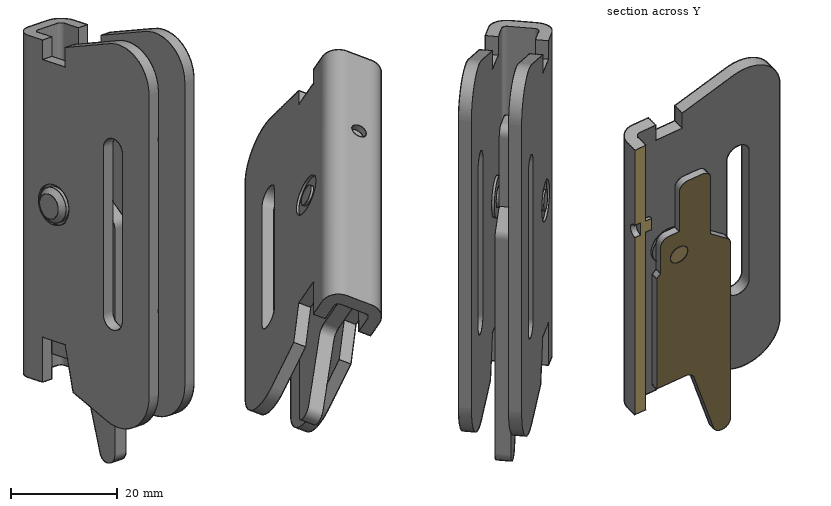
import cadquery as cq
import math

width = 35.0
depth = 12.0
wall = 2.5
bend_radius = 3.4
top = 86.0
plate_height = 76.0
spine_height = 67.9
corner_radius = 8.0

plate_bottom = top - plate_height
middle_z = (top + plate_bottom) / 2
spine_top = middle_z + spine_height / 2
spine_bottom = middle_z - spine_height / 2
corner_x = width - corner_radius
upper_corner_z = top - corner_radius
lower_corner_z = plate_bottom + corner_radius

notch_start = 7.05
notch_end = 13.0
upper_notch_floor = 78.1
lower_notch_roof = 23.0
lower_nose_x = 15.05

slot_x = 25.5
slot_width = 5.0
slot_length = 38.0

dimple_z = 61.1
dimple_diameter = 3.0
dimple_height = 1.3

seat_diameter = 8.0
seat_depth = 0.5

pin_x = 10.0
pin_z = 50.0
shank_diameter = 4.0
head_diameter = 7.0
head_chamfer = 1.0
head_proud = 1.3

lever_thickness = 3.0
lever_radius = 2.0
lever_heel_x = 4.9
lever_shelf_x = 5.8
lever_block_left = pin_x
lever_block_right = 17.1
lever_tail_x = 21.6
lever_top = 67.9
lever_shelf_z = 55.9
lever_heel_z = 46.4
lever_shoulder_z = 51.6
shoulder_slope = 40.0
lever_bottom = 18.1
tail_root_x = 12.9

outer_y = depth / 2
inner_y = outer_y - wall
through = 2 * depth
pick_reach = 0.1


def tangent_point(start, centre, radius, side):
    """Point where a line from start touches a circle; side is +1 or -1."""
    dx = start[0] - centre[0]
    dz = start[1] - centre[1]
    angle = math.atan2(dz, dx) + side * math.acos(radius / math.hypot(dx, dz))
    return (centre[0] + radius * math.cos(angle), centre[1] + radius * math.sin(angle))


def along_y(x, z, start_y):
    """Sketch plane at start_y whose normal is +Y, centred on (x, z)."""
    return cq.Workplane(cq.Plane((x, start_y, z), (-1, 0, 0), (0, 1, 0)))


def along_x(x, z):
    """Sketch plane whose normal is +X, centred on (x, 0, z)."""
    return cq.Workplane("YZ", origin=(x, 0, z))


def slab(outline, thickness):
    """Extrude an XZ outline by thickness, centred on Y = 0."""
    return outline.close().extrude(thickness / 2, both=True)


def make_channel():
    outer = cq.Workplane("XY").box(width, depth, plate_height, centered=(False, True, False))
    outer = outer.edges("|Z and <X").fillet(bend_radius)
    inner = cq.Workplane("XY").box(width, 2 * inner_y, plate_height, centered=(False, True, False))
    inner = inner.edges("|Z and <X").fillet(bend_radius - wall)
    return outer.cut(inner.translate((wall, 0, 0))).translate((0, 0, plate_bottom))


def make_side_profile():
    upper_centre = (corner_x, upper_corner_z)
    lower_centre = (corner_x, lower_corner_z)
    upper_nose = (notch_end, spine_top)
    lower_nose = (lower_nose_x, spine_bottom)
    upper_touch = tangent_point(upper_nose, upper_centre, corner_radius, -1)
    lower_touch = tangent_point(lower_nose, lower_centre, corner_radius, 1)
    upper_end = (width, upper_corner_z)
    lower_end = (width, lower_corner_z)
    outline = (
        cq.Workplane("XZ")
        .moveTo(0, spine_bottom)
        .lineTo(0, spine_top)
        .lineTo(notch_start, spine_top)
        .lineTo(notch_start, upper_notch_floor)
        .lineTo(notch_end, upper_notch_floor)
        .lineTo(*upper_nose)
        .lineTo(*upper_touch)
        .threePointArc((corner_x, top), upper_end)
        .lineTo(*lower_end)
        .threePointArc((corner_x, plate_bottom), lower_touch)
        .lineTo(*lower_nose)
        .lineTo(notch_end, lower_notch_roof)
        .lineTo(notch_start, lower_notch_roof)
        .lineTo(notch_start, spine_bottom)
    )
    return slab(outline, through)


def add_spring_dimple(body):
    """Press a dimple into the spine: a recess outside and an equal boss inside."""
    boss = along_x(wall, dimple_z).circle(dimple_diameter / 2).extrude(dimple_height)
    recess = along_x(0, dimple_z).circle(dimple_diameter / 2).extrude(dimple_height)
    return body.union(boss).cut(recess)


def add_pin_seats(body):
    """Press a round seat into each side plate: a recess outside and an equal boss inside."""
    boss_starts = (-inner_y, inner_y - seat_depth)
    recess_starts = (-outer_y, outer_y - seat_depth)
    for boss_y, recess_y in zip(boss_starts, recess_starts):
        boss = along_y(pin_x, pin_z, boss_y).circle(seat_diameter / 2).extrude(seat_depth)
        recess = along_y(pin_x, pin_z, recess_y).circle(seat_diameter / 2).extrude(seat_depth)
        body = body.union(boss).cut(recess)
    return body


def make_pin_hole():
    return along_y(pin_x, pin_z, -depth).circle(shank_diameter / 2).extrude(through)


def make_housing():
    body = make_channel().intersect(make_side_profile())
    slot = along_y(slot_x, middle_z, -depth).slot2D(slot_length, slot_width, 90).extrude(through)
    body = add_spring_dimple(body.cut(slot))
    return add_pin_seats(body).cut(make_pin_hole())


def make_pin():
    """Headed pin; the head rests on the front seat and the shank ends flush with the back plate."""
    head_start = -outer_y - head_proud
    head_length = head_proud + seat_depth
    head = along_y(pin_x, pin_z, head_start).circle(head_diameter / 2).extrude(head_length)
    head = head.faces("<Y").chamfer(head_chamfer)
    shank = along_y(pin_x, pin_z, -outer_y).circle(shank_diameter / 2).extrude(depth)
    return head.union(shank)


def make_lever():
    tip_centre = (lever_tail_x - lever_radius, lever_radius)
    tail_root = (tail_root_x, lever_bottom)
    tip_start = (lever_tail_x, lever_radius)
    tip_end = tangent_point(tail_root, tip_centre, lever_radius, 1)
    heel_drop = lever_shelf_x - lever_heel_x
    shoulder_run = lever_tail_x - lever_block_right
    shoulder_drop = shoulder_run * math.tan(math.radians(shoulder_slope))
    shoulder_foot = lever_shoulder_z - shoulder_drop
    outline = (
        cq.Workplane("XZ")
        .moveTo(lever_heel_x, lever_bottom)
        .lineTo(lever_heel_x, lever_heel_z)
        .lineTo(lever_shelf_x, lever_heel_z + heel_drop)
        .lineTo(lever_shelf_x, lever_shelf_z)
        .lineTo(lever_block_left, lever_shelf_z)
        .lineTo(lever_block_left, lever_top)
        .lineTo(lever_block_right, lever_top)
        .lineTo(lever_block_right, lever_shoulder_z)
        .lineTo(lever_tail_x, shoulder_foot)
        .lineTo(*tip_start)
        .threePointArc((tip_centre[0], 0), tip_end)
        .lineTo(*tail_root)
    )
    blank = slab(outline, lever_thickness)
    rounded_corners = [
        (lever_shelf_x, lever_shelf_z),
        (lever_block_left, lever_top),
        (lever_block_right, lever_top),
        (lever_tail_x, shoulder_foot),
        tail_root,
    ]
    for x, z in rounded_corners:
        near_corner = cq.selectors.BoxSelector(
            (x - pick_reach, -depth, z - pick_reach), (x + pick_reach, depth, z + pick_reach)
        )
        blank = blank.edges("|Y").edges(near_corner).fillet(lever_radius)
    return blank.cut(make_pin_hole())


housing = make_housing()
pin = make_pin()
lever = make_lever()

result = cq.Compound.makeCompound([housing.val(), pin.val(), lever.val()])